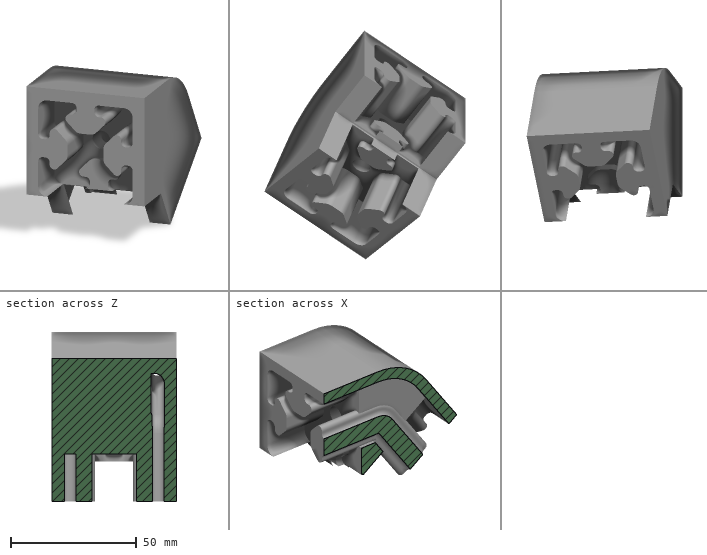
import cadquery as cq
import math


width = 50.0
wall = 5.0
bend_angle = 55.0
axis_length = 30.0
bend_outer_radius = 30.0
floor_depth = 19.0
stub_length = 3.0
bore_diameter = 7.5

socket_corner_radius = 3.75

neck_half_width = 3.75
neck_radius = 2.0
head_half_width = 8.45
head_outer = 15.15
head_inner = 7.6
head_end_radius = 1.85
head_inner_radius = 3.5
flank_angle = math.radians(45)

channel_inner_x = 14.8
channel_bottom_z = -7.5

half_width = width / 2
socket_half = half_width - wall
half_angle = math.radians(bend_angle / 2)
top_z = half_width
bottom_z = -socket_half
outer_corner_y = axis_length + half_width * math.tan(half_angle)
bend_start = axis_length + (half_width - bend_outer_radius) * math.tan(half_angle)
bend_axis_z = top_z - bend_outer_radius
mitre_normal = cq.Vector(0, math.cos(half_angle), -math.sin(half_angle))
mitre_point = cq.Vector(0, bend_start, bend_axis_z)


def both_legs(first):
    """Join a shape of the first leg with its reflection in the mitre plane."""
    return first.union(first.mirror(mitre_normal, mitre_point))


def box_between(low, high):
    """Box spanning two opposite corners."""
    size = [end - start for start, end in zip(low, high)]
    return cq.Workplane("XY").box(*size, centered=False).translate(low)


def around_bend(straight):
    """Carry a passage that ends at the bend start round the bend and out along the second leg."""
    passage = both_legs(straight)
    outside_axis = box_between((-half_width, 0, bend_axis_z), (half_width, bend_start, top_z))
    axis_start = cq.Vector(0, bend_start, bend_axis_z)
    axis_end = axis_start - cq.Vector(1, 0, 0)
    for face in straight.intersect(outside_axis).faces(">Y").vals():
        turn = cq.Solid.revolve(face, bend_angle, axis_start, axis_end)
        passage = passage.union(cq.Workplane(turn))
    return passage


def make_half_body():
    """First leg up to the mitre plane, with the outer corner still square."""
    inner_corner_y = axis_length + bottom_z * math.tan(half_angle)
    return (
        cq.Workplane("YZ", origin=(-half_width, 0, 0))
        .moveTo(0, bottom_z)
        .lineTo(inner_corner_y, bottom_z)
        .lineTo(outer_corner_y, top_z)
        .lineTo(0, top_z)
        .close()
        .extrude(width)
    )


def make_body():
    """Both legs, with the outer corner of the bend rounded."""
    outer_corner = cq.selectors.NearestToPointSelector((0, outer_corner_y, top_z))
    return both_legs(make_half_body()).edges("|X").edges(outer_corner).fillet(bend_outer_radius)


def make_key(start, end):
    """Key on the +Z side of the socket, from depth start to depth end."""
    end_centre_x = head_half_width - head_end_radius
    end_centre_z = head_outer - head_end_radius
    flank_x = end_centre_x + head_end_radius * math.cos(flank_angle)
    flank_z = end_centre_z - head_end_radius * math.sin(flank_angle)
    inner_corner_x = flank_x - (flank_z - head_inner) / math.tan(flank_angle)
    inner_tangent = head_inner_radius * math.tan(flank_angle / 2)
    inner_arc_x = inner_corner_x + inner_tangent * math.cos(flank_angle)
    inner_arc_z = head_inner + inner_tangent * math.sin(flank_angle)
    half_key = (
        cq.Workplane("XZ", origin=(0, start, 0))
        .moveTo(0, socket_half)
        .lineTo(neck_half_width + neck_radius, socket_half)
        .radiusArc((neck_half_width, socket_half - neck_radius), -neck_radius)
        .lineTo(neck_half_width, head_outer + neck_radius)
        .radiusArc((neck_half_width + neck_radius, head_outer), -neck_radius)
        .lineTo(end_centre_x, head_outer)
        .threePointArc((head_half_width, end_centre_z), (flank_x, flank_z))
        .lineTo(inner_arc_x, inner_arc_z)
        .radiusArc((inner_corner_x - inner_tangent, head_inner), head_inner_radius)
        .lineTo(0, head_inner)
        .close()
        .extrude(start - end)
    )
    return half_key.union(half_key.mirror("YZ"))


def turned(key, angle):
    """Turn a key about the bar axis."""
    return key.rotate((0, 0, 0), (0, 1, 0), angle)


def make_bar_space(depth):
    """Space for the bar: a rounded square less the keys on the three walls."""
    side = 2 * socket_half
    space = cq.Workplane("XZ").rect(side, side).extrude(-depth)
    space = space.edges("|Y").fillet(socket_corner_radius)
    for angle in (-90, 0, 90):
        space = space.cut(turned(make_key(0, depth), angle))
    return space


def make_socket():
    """Open-bottomed socket of the first leg, with a short key left on its floor."""
    stub = turned(make_key(floor_depth - stub_length, floor_depth), 180)
    return make_bar_space(floor_depth).cut(stub)


def make_channel():
    """Side channel of the first leg, within the bar space beside the +X wall."""
    limits = box_between((channel_inner_x, 0, channel_bottom_z), (half_width, bend_start, top_z))
    return make_bar_space(bend_start).intersect(limits)


def make_bore():
    """Round bore along the bar axis; inside the socket it meets only open space."""
    return cq.Workplane("XZ").circle(bore_diameter / 2).extrude(-bend_start)


result = (
    make_body()
    .cut(both_legs(make_socket()))
    .cut(around_bend(make_channel()))
    .cut(around_bend(make_bore()))
)